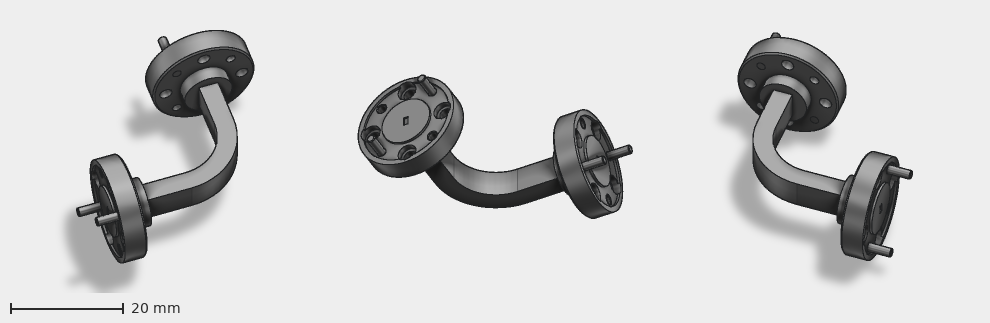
import cadquery as cq
import math


overall_length = 38.8
flange_diameter = 19.05
pin_projection = 3.88
port_distance = overall_length - flange_diameter / 2 - pin_projection

flange_thickness = 4.23
flange_back_chamfer = 0.3
neck_diameter = 8.92
neck_length = 2.5

recess_outer_diameter = 17.0
boss_diameter = 9.5
recess_depth = 0.45

hole_circle_radius = 7.15
screw_hole_diameter = 2.3
counterbore_diameter = 3.55
counterbore_depth = 1.55
screw_angles = [0, 90, 180, 270]
pin_angles = [45, 225]
open_hole_angles = [135, 315]
open_hole_diameter = 1.7
open_hole_chamfer = 0.15
pin_seat_chamfer = 0.08

pin_diameter = 1.6
pin_tip_chamfer = 0.15

tube_width = 3.57
tube_height = 5.25
bend_radius = 10.15

port_width = 0.85
port_height = 1.65
port_depth = 0.3

port_turns = [0, -90]


def port_plane(depth):
    """Plane parallel to the flange face of the -Y port, at a depth behind it; its normal is -Y."""
    return cq.Workplane("XZ", origin=(0, depth - port_distance, 0))


def circle_points(angles):
    """Points on the hole circle at the given angles."""
    return [
        (hole_circle_radius * math.cos(math.radians(a)), hole_circle_radius * math.sin(math.radians(a)))
        for a in angles
    ]


def turned(shape, angle):
    """Shape turned about the Z axis."""
    return shape.rotate((0, 0, 0), (0, 0, 1), angle)


def make_tube():
    """Rectangular bar that follows the bend from one flange face to the other."""
    path = (
        cq.Workplane("XY")
        .moveTo(0, -port_distance)
        .lineTo(0, -bend_radius)
        .tangentArcPoint((-bend_radius, 0), relative=False)
        .lineTo(-port_distance, 0)
    )
    return port_plane(0).rect(tube_width, tube_height).sweep(path)


def flange_blank():
    """Flange disc with its chamfered back edge and the neck behind it."""
    disc = port_plane(0).circle(flange_diameter / 2).extrude(-flange_thickness)
    disc = disc.faces(">Y").chamfer(flange_back_chamfer)
    neck = port_plane(flange_thickness).circle(neck_diameter / 2).extrude(-neck_length)
    return disc.union(neck)


def face_recess():
    """Ring cut into the flange face between the rim and the centre boss."""
    return (
        port_plane(0)
        .circle(recess_outer_diameter / 2)
        .circle(boss_diameter / 2)
        .extrude(-recess_depth)
    )


def screw_holes():
    """Through holes with counterbores that open on the flange face."""
    points = circle_points(screw_angles)
    holes = port_plane(0).pushPoints(points).circle(screw_hole_diameter / 2).extrude(-flange_thickness)
    bores = port_plane(0).pushPoints(points).circle(counterbore_diameter / 2).extrude(-counterbore_depth)
    return holes.union(bores)


def chamfered_holes(angles, diameter, chamfer):
    """Through holes with a chamfered mouth at the recess floor."""
    radius = diameter / 2
    hole_length = flange_thickness - recess_depth
    points = circle_points(angles)
    holes = port_plane(recess_depth).pushPoints(points).circle(radius).extrude(-hole_length)
    for x, z in points:
        mouth = cq.Solid.makeCone(
            radius + chamfer,
            radius,
            chamfer,
            pnt=cq.Vector(x, recess_depth - port_distance, z),
            dir=cq.Vector(0, 1, 0),
        )
        holes = holes.union(cq.Workplane(mouth))
    return holes


def pin_seats():
    """Holes that the alignment pins fill."""
    return chamfered_holes(pin_angles, pin_diameter, pin_seat_chamfer)


def open_holes():
    """Holes for the pins of a mating flange."""
    return chamfered_holes(open_hole_angles, open_hole_diameter, open_hole_chamfer)


def port_pocket():
    """Rectangular waveguide port in the centre boss."""
    return port_plane(0).rect(port_width, port_height).extrude(-port_depth)


def make_waveguide():
    """Bent tube with both flanges and the features of their faces."""
    flange = flange_blank()
    cuts = face_recess().union(screw_holes()).union(pin_seats()).union(open_holes()).union(port_pocket())
    waveguide = make_tube()
    for angle in port_turns:
        waveguide = waveguide.union(turned(flange, angle)).cut(turned(cuts, angle))
    return waveguide


def make_pin(x, z):
    """Alignment pin of the -Y port, flush with the flange back and chamfered at its tip."""
    pin_length = flange_thickness + pin_projection
    pin = port_plane(flange_thickness).center(x, z).circle(pin_diameter / 2).extrude(pin_length)
    return pin.faces("<Y").chamfer(pin_tip_chamfer)


waveguide = make_waveguide()

pins = []
for angle in port_turns:
    for x, z in circle_points(pin_angles):
        pins.append(turned(make_pin(x, z), angle).val())

result = cq.Compound.makeCompound([waveguide.val(), *pins])